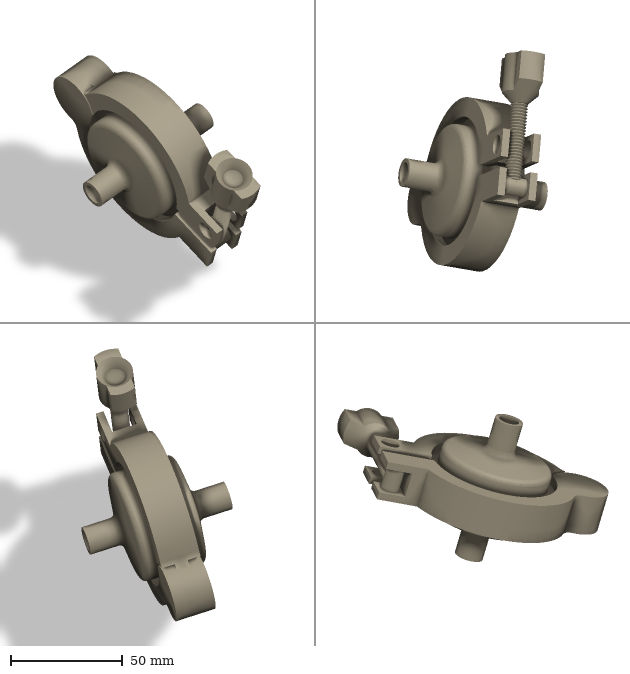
import cadquery as cq
import math


HOUSING_LENGTH = 67.2
PORT_END = HOUSING_LENGTH / 2
PORT_RADIUS = 12.9 / 2
PORT_BORE_RADIUS = 4.7
PORT_BORE_DEPTH = 13.1
PORT_FILLET = 2.8
DRUM_RADIUS = 25.4
DRUM_EDGE = 14.6
DRUM_FILLET = 2.5
END_SLOPE = 10
FLANGE_RADIUS = 31.8
FLANGE_RIM_FILLET = 1.7
FLANGE_ROOT_FILLET = 0.6
FLANGE_ROOT_WIDTH = 6.3
FLANGE_SLOPE = 20

CLAMP_WIDTH = 18.4
RING_RADIUS = 38.0
RING_BORE_RADIUS = 29.2
GROOVE_RADIUS = 33.9
TILT = 12.5
RING_GAP = 5.0

HINGE_X = -40.9
KNUCKLE_RADIUS = 13.0
KNUCKLE_CLEARANCE = 1.4
KNUCKLE_FILLET = 5.0
HINGE_PIN_RADIUS = 4.5
KNUCKLE_WIDTH = CLAMP_WIDTH / 3
MIDDLE_KNUCKLE = (0,)
OUTER_KNUCKLES = (-1, 1)

LUG_END_X = 53.9
LUG_OUTER_Z = 15.2
SCREW_X = 47.5
SLOT_WIDTH = 11.5
SLOT_DEPTH = 12.3
CROSS_HOLE_Z = 8.8
CROSS_HOLE_RADIUS = 4.3
SWIVEL_PIN_RADIUS = 4.2

SCREW_RADIUS = 8.0 / 2
THREAD_TURNS = 28
THREAD_DEPTH = 0.9
NUT_TOP_Z = 50.7
NUT_BOTTOM_Z = 29.0
NUT_BOTTOM_RADIUS = 3.8
NUT_RADIUS = 16.6 / 2
WING_RADIUS = 12.8
WING_WIDTH = 11.5
DISH_DEPTH = 3.8
DISH_BOTTOM_RADIUS = 4.4


def disc(radius, width, x=0.0, z=0.0):
    """Cylinder along Y, centred on the middle plane."""
    return cq.Workplane("XZ").center(x, z).circle(radius).extrude(width / 2, both=True)


def block(x_min, x_max, width, z_min, z_max):
    """Box centred on the middle plane."""
    return (
        cq.Workplane("XY")
        .box(x_max - x_min, width, z_max - z_min)
        .translate(((x_min + x_max) / 2, 0, (z_min + z_max) / 2))
    )


def flange_half_width(radius):
    """Half width of the V-shaped flange, and of the groove that grips it."""
    return FLANGE_ROOT_WIDTH - (radius - DRUM_RADIUS) * math.tan(math.radians(FLANGE_SLOPE))


def end_height(radius):
    """Distance of the end cone from the middle plane."""
    return DRUM_EDGE + (DRUM_RADIUS - radius) * math.tan(math.radians(END_SLOPE))


def circles_at(radius, distance):
    """Selector for the edges at a radius and a distance on both sides of the middle plane."""
    span = 0.01
    sides = [
        cq.selectors.BoxSelector(
            (-radius - span, side * distance - span, -radius - span),
            (radius + span, side * distance + span, radius + span),
            boundingbox=True,
        )
        for side in (-1, 1)
    ]
    return sides[0] + sides[1]


def make_housing():
    """Turned housing with a V-shaped flange and a blind bore in each port."""
    half_profile = [
        (PORT_RADIUS, PORT_END),
        (PORT_RADIUS, end_height(PORT_RADIUS)),
        (DRUM_RADIUS, DRUM_EDGE),
        (DRUM_RADIUS, FLANGE_ROOT_WIDTH),
        (FLANGE_RADIUS, flange_half_width(FLANGE_RADIUS)),
    ]
    mirrored = [(radius, -y) for radius, y in reversed(half_profile)]
    body = (
        cq.Workplane("XY")
        .polyline([(0, PORT_END)] + half_profile + mirrored + [(0, -PORT_END)])
        .close()
        .revolve(360, (0, 0, 0), (0, 1, 0))
    )
    fillets = [PORT_FILLET, DRUM_FILLET, FLANGE_ROOT_FILLET, FLANGE_RIM_FILLET]
    for (radius, y), fillet in zip(half_profile[1:], fillets):
        body = body.edges(circles_at(radius, y)).fillet(fillet)
    for side in (-1, 1):
        port_face = cq.Workplane("XZ", origin=(0, side * PORT_END, 0))
        body = body.cut(port_face.circle(PORT_BORE_RADIUS).extrude(side * PORT_BORE_DEPTH))
    return body


def make_hinge_fillet(side):
    """Web that rounds the corner between knuckle and ring; side is 1 for the upper half."""
    to_ring = RING_RADIUS + KNUCKLE_FILLET
    to_knuckle = KNUCKLE_RADIUS + KNUCKLE_FILLET
    x = (HINGE_X**2 + to_ring**2 - to_knuckle**2) / (2 * HINGE_X)
    z = side * math.sqrt(to_ring**2 - x**2)
    web = (
        cq.Workplane("XZ")
        .polyline([(0, 0), (HINGE_X, 0), (x, z)])
        .close()
        .extrude(CLAMP_WIDTH / 2, both=True)
    )
    return web.cut(disc(KNUCKLE_FILLET, CLAMP_WIDTH, x, z))


def make_slotted_lug(side):
    """Arm of a clamp half with an open slot in its end that lets the screw swing out."""
    z_range = sorted((side * RING_GAP / 2, side * LUG_OUTER_Z))
    lug = block(0, LUG_END_X, CLAMP_WIDTH, *z_range)
    return lug.cut(block(LUG_END_X - SLOT_DEPTH, LUG_END_X, SLOT_WIDTH, *z_range))


def make_groove():
    """V-shaped groove whose walls bear on the flange faces."""
    inner_width = flange_half_width(DRUM_RADIUS)
    outer_width = flange_half_width(GROOVE_RADIUS)
    return (
        cq.Workplane("XY")
        .polyline([
            (DRUM_RADIUS, inner_width),
            (GROOVE_RADIUS, outer_width),
            (GROOVE_RADIUS, -outer_width),
            (DRUM_RADIUS, -inner_width),
        ])
        .close()
        .revolve(360, (0, 0, 0), (0, 1, 0))
    )


def make_clamp_half(side, lug, knuckle_positions):
    """Half ring joined to its lug and knuckles; side is 1 for the upper half, -1 for the lower."""
    hinge_side = block(-RING_RADIUS, 0, CLAMP_WIDTH, *sorted((0, side * RING_RADIUS)))
    lug_side = block(0, RING_RADIUS, CLAMP_WIDTH, *sorted((side * RING_GAP / 2, side * RING_RADIUS)))
    half = disc(RING_RADIUS, CLAMP_WIDTH).intersect(hinge_side.union(lug_side))
    half = half.union(lug).union(make_hinge_fillet(side))

    knuckle = disc(KNUCKLE_RADIUS, KNUCKLE_WIDTH, HINGE_X)
    for position in knuckle_positions:
        half = half.union(knuckle.translate((0, position * KNUCKLE_WIDTH, 0)))
    return half.cut(disc(RING_BORE_RADIUS, CLAMP_WIDTH)).cut(make_groove())


def make_screw():
    """Threaded rod from the swivel pin up to the wing nut, with ring-shaped thread grooves."""
    bottom_z = -CROSS_HOLE_Z - SWIVEL_PIN_RADIUS / 2
    pitch = (NUT_BOTTOM_Z - bottom_z) / THREAD_TURNS
    root_radius = SCREW_RADIUS - THREAD_DEPTH
    points = [(0, bottom_z), (root_radius, bottom_z)]
    for turn in range(THREAD_TURNS):
        root_z = bottom_z + turn * pitch
        points.append((SCREW_RADIUS, root_z + pitch / 2))
        points.append((root_radius, root_z + pitch))
    points.append((0, NUT_BOTTOM_Z))
    rod = cq.Workplane("YZ").polyline(points).close().revolve(360, (0, 0, 0), (0, 1, 0))
    return rod.translate((SCREW_X, 0, 0))


def make_wing_nut():
    """Round hub with two wings, a 45 degree underside and a dished top."""
    height = NUT_TOP_Z - NUT_BOTTOM_Z
    base = cq.Workplane("XY", origin=(0, 0, NUT_BOTTOM_Z))
    hub = base.circle(NUT_RADIUS).extrude(height)
    wings = base.rect(2 * WING_RADIUS, WING_WIDTH).extrude(height)
    wings = wings.intersect(base.circle(WING_RADIUS).extrude(height))
    taper_top_z = NUT_BOTTOM_Z + WING_RADIUS - NUT_BOTTOM_RADIUS
    envelope = (
        cq.Workplane("XZ")
        .polyline([
            (0, NUT_BOTTOM_Z),
            (NUT_BOTTOM_RADIUS, NUT_BOTTOM_Z),
            (WING_RADIUS, taper_top_z),
            (WING_RADIUS, NUT_TOP_Z),
            (NUT_RADIUS, NUT_TOP_Z),
            (DISH_BOTTOM_RADIUS, NUT_TOP_Z - DISH_DEPTH),
            (0, NUT_TOP_Z - DISH_DEPTH),
        ])
        .close()
        .revolve(360, (0, 0, 0), (0, 1, 0))
    )
    return hub.union(wings).intersect(envelope).translate((SCREW_X, 0, 0))


def make_clamp():
    """Hinged clamp with its pins, screw and wing nut, all one solid."""
    upper_lug = make_slotted_lug(1)
    upper_lug = upper_lug.cut(disc(CROSS_HOLE_RADIUS, CLAMP_WIDTH, SCREW_X, CROSS_HOLE_Z))
    lower_lug = make_slotted_lug(-1)
    upper = make_clamp_half(1, upper_lug, knuckle_positions=MIDDLE_KNUCKLE)
    lower = make_clamp_half(-1, lower_lug, knuckle_positions=OUTER_KNUCKLES)
    relief = disc(KNUCKLE_RADIUS + KNUCKLE_CLEARANCE, KNUCKLE_WIDTH, HINGE_X)
    for position in OUTER_KNUCKLES:
        upper = upper.cut(relief.translate((0, position * KNUCKLE_WIDTH, 0)))
    hinge_pin = disc(HINGE_PIN_RADIUS, CLAMP_WIDTH, HINGE_X)
    swivel_pin = disc(SWIVEL_PIN_RADIUS, CLAMP_WIDTH, SCREW_X, -CROSS_HOLE_Z)
    screw = make_screw().union(make_wing_nut())

    clamp = upper
    for piece in (lower, hinge_pin, swivel_pin, screw):
        clamp = clamp.union(piece, clean=False)
    return clamp.rotate((0, 0, 0), (0, 1, 0), TILT)


housing = make_housing()
clamp = make_clamp()
result = cq.Compound.makeCompound([housing.solids().val(), clamp.solids().val()])